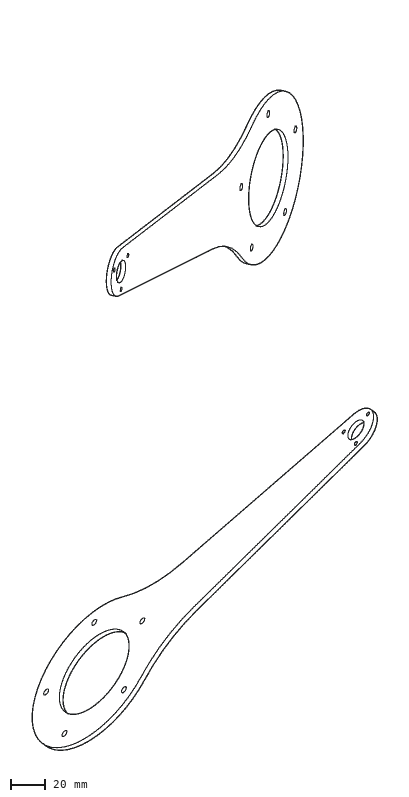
import cadquery as cq
import math

thickness = 3.0
length = 279.5
height = 106.2

ring_radius = 51.0
bore_diameter = 57.0
ring_bolt_count = 5
ring_bolt_circle_radius = 41.5
ring_bolt_diameter = 4.0

tip_radius = 14.5
tip_bore_diameter = 13.1
tip_bolt_count = 3
tip_bolt_circle_radius = 11.5
tip_bolt_diameter = 2.38

arm_root_radius = 27.0
neck_fillet_radius = 84.0

tip_y = -(length - ring_radius - tip_radius)
tip_z = height - ring_radius - tip_radius
arm_length = math.hypot(tip_y, tip_z)
arm_angle = math.degrees(math.atan2(tip_z, tip_y))
half_taper = math.degrees(math.asin((arm_root_radius - tip_radius) / arm_length))


def polar(radius, angle, center=(0, 0)):
    """Point at a radius and an angle (degrees from +Y toward +Z) about a centre."""
    turn = math.radians(angle)
    return center[0] + radius * math.cos(turn), center[1] + radius * math.sin(turn)


def disc(radius, center=(0, 0)):
    return cq.Workplane("YZ").center(*center).circle(radius).extrude(thickness)


def make_arm(tip):
    """Tapered bar with a round tip; its root end is hidden inside the ring."""
    side_angle = 90 - half_taper
    first_side = arm_angle + side_angle
    second_side = arm_angle - side_angle
    return (
        cq.Workplane("YZ")
        .moveTo(*polar(arm_root_radius, first_side))
        .lineTo(*polar(tip_radius, first_side, tip))
        .threePointArc(polar(tip_radius, arm_angle, tip), polar(tip_radius, second_side, tip))
        .lineTo(*polar(arm_root_radius, second_side))
        .close()
        .extrude(thickness)
    )


def cut_bolt_circle(body, center, count, circle_radius, diameter, start_angle):
    """Cut evenly spaced round holes through the plate."""
    for index in range(count):
        position = polar(circle_radius, start_angle + index * 360 / count, center)
        body = body.cut(disc(diameter / 2, position))
    return body


ring_center = (0, 0)
tip_center = (tip_y, tip_z)
plate = disc(ring_radius).union(make_arm(tip_center))

neck_box = cq.selectors.BoxSelector(
    (-thickness, -ring_radius, -ring_radius),
    (2 * thickness, -ring_radius / 2, ring_radius),
)
plate = plate.edges("|X").edges(neck_box).fillet(neck_fillet_radius)

plate = plate.cut(disc(bore_diameter / 2, ring_center))
plate = plate.cut(disc(tip_bore_diameter / 2, tip_center))

plate = cut_bolt_circle(
    plate, ring_center, ring_bolt_count, ring_bolt_circle_radius, ring_bolt_diameter, start_angle=90
)
result = cut_bolt_circle(
    plate, tip_center, tip_bolt_count, tip_bolt_circle_radius, tip_bolt_diameter, start_angle=-90
)